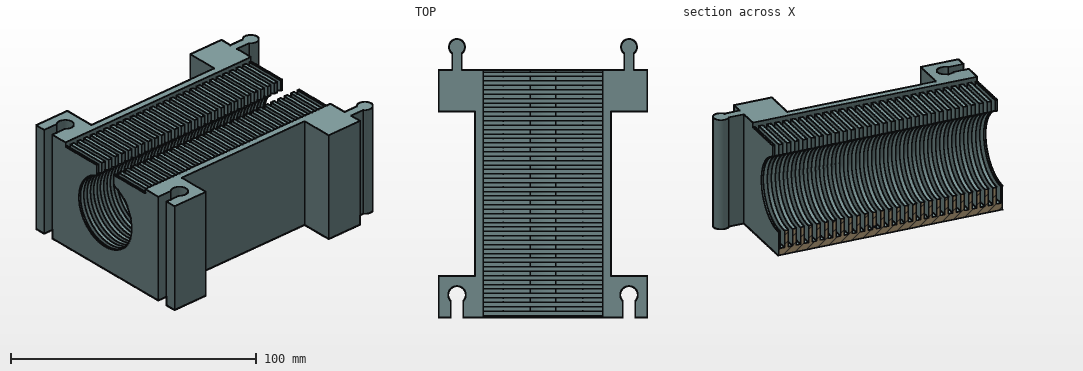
import cadquery as cq

total_width = 85.0
total_length = 113.5
height = 49.5

lug_length = 17.0
connector_spacing = 70.0
pin_radius = 3.3
pin_neck_width = 4.0
socket_radius = 3.5
socket_neck_width = 5.0
connector_reach = 9.3

body_length = total_length - connector_reach - pin_radius
body_width = 55.4
wall = 3.3
inner_width = body_width - 2 * wall
recess_depth = 2.0
gap_count = 28

bore_radius = 16.2
bore_height = 27.1
mouth_width = 10.2

pitch = body_length / gap_count
gap = pitch / 2
end_plate = gap / 2


def block(width, length, depth, x, y, z):
    """Box centred at x, starting at y and z."""
    return cq.Workplane("XY").box(width, length, depth, centered=(True, False, False)).translate((x, y, z))


def keyhole(radius, neck_width, x, start_y, centre_y):
    """Full-height cylinder with a straight neck running back from it to start_y."""
    neck = block(neck_width, centre_y - start_y, height, x, start_y, 0)
    head = cq.Workplane("XY").center(x, centre_y).circle(radius).extrude(height)
    return neck.union(head)


def make_body():
    body = block(body_width, body_length, height, 0, 0, 0)
    for lug_y in (0, body_length - lug_length):
        body = body.union(block(total_width, lug_length, height, 0, lug_y, 0))
    return body


def add_connectors(body):
    """Pins on the back end fit sockets in the front end of the next block."""
    for x in (-connector_spacing / 2, connector_spacing / 2):
        body = body.union(keyhole(pin_radius, pin_neck_width, x, body_length, body_length + connector_reach))
        body = body.cut(keyhole(socket_radius, socket_neck_width, x, 0, connector_reach))
    return body


def cut_bore(body):
    bore = cq.Workplane("XZ").center(0, bore_height).circle(bore_radius).extrude(-body_length)
    mouth = block(mouth_width, body_length, height - bore_height, 0, 0, bore_height)
    return body.cut(bore).cut(mouth)


def cut_fins(body):
    """Lower the fin tops below the side walls, then cut the gaps between the fins."""
    body = body.cut(block(inner_width, body_length, recess_depth, 0, 0, height - recess_depth))
    for index in range(gap_count):
        gap_y = end_plate + index * pitch
        body = body.cut(block(inner_width, gap, height - wall, 0, gap_y, wall))
    return body


result = cut_fins(cut_bore(add_connectors(make_body())))